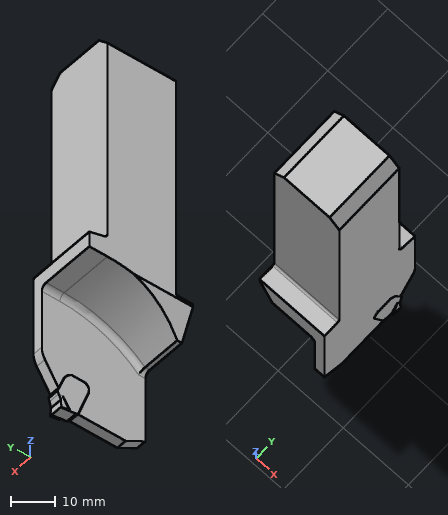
import cadquery as cq
import math

total_height = 103.6
width = 20.0
shank_front = 5.0
shank_back = shank_front + width
end_chamfer = 3.0

head_depth = 30.3
front_step_z = 34.5
front_step_fillet = 0.6
back_step_z = 39.1
back_step_angle = 15.0
back_step_fillet = 1.5
back_step_top = back_step_z + (head_depth - shank_back) * math.tan(math.radians(back_step_angle))

blade_thickness = 3.0
blade_face = width - blade_thickness
blade_bottom = 1.1
blade_chamfer_y = 5.8
blade_chamfer_z = 4.5
relief_top = 13.9
relief_y = 22.4
relief_fillet = 6.2

clearance_top = 34.5
clearance_radius = 35.0
clearance_front_z = 25.4
clearance_fillet = 1.6
clearance_fall = clearance_radius - (clearance_top - clearance_front_z)
clearance_end_y = shank_back - math.sqrt(clearance_radius**2 - clearance_fall**2)

slant_top = 33.7
slant_width = 3.9

insert_proud = 0.3
insert_face = blade_face - insert_proud
insert_top = 11.8
insert_heel = (20.5, 0.6)
insert_exit = (19.7, 1.2)
insert_front_arc = ((16.9, 9.0), (16.8, 10.6), (17.8, insert_top))
insert_back_arc = ((22.0, insert_top), (23.1, 10.9), (23.8, 9.8))
insert_shoulder = (25.9, 4.6)

tip_y = 25.0
tip_corner_z = 2.3
tip_back_y = 25.6
tip_rake_top_y = 24.3
tip_rake_foot = (22.4, 0.36)
tip_height = 3.7
tip_left = 16.5
tip_right = 20.5


def side_prism(outline, x_start, x_end):
    """Extrude a closed YZ outline from x_start to x_end."""
    return outline.extrude(x_end - x_start).translate((x_start, 0, 0))


def make_blank():
    """Full-width side outline of shank, head and blade."""
    outline = (
        cq.Workplane("YZ")
        .moveTo(shank_front, total_height)
        .lineTo(shank_front, front_step_z)
        .lineTo(0, front_step_z)
        .lineTo(0, blade_chamfer_z)
        .lineTo(blade_chamfer_y, blade_bottom)
        .lineTo(relief_y, blade_bottom)
        .lineTo(head_depth, relief_top)
        .lineTo(head_depth, back_step_z)
        .lineTo(shank_back, back_step_top)
        .lineTo(shank_back, total_height)
        .close()
    )
    blank = side_prism(outline, 0, width)
    corner_fillets = (
        (shank_front, front_step_z, front_step_fillet),
        (shank_back, back_step_top, back_step_fillet),
        (head_depth, relief_top, relief_fillet),
    )
    for y, z, radius in corner_fillets:
        corner = cq.selectors.NearestToPointSelector((width / 2, y, z))
        blank = blank.edges("|X").edges(corner).fillet(radius)
    return blank.faces(">Z").edges("|Y").chamfer(end_chamfer)


def make_clearance():
    """Space cut away beside the blade, with a rounded inner top edge."""
    margin = 5.2
    arc_middle_angle = math.asin((shank_back - clearance_end_y) / clearance_radius) / 2
    arc_center_z = clearance_top - clearance_radius
    arc_middle = (
        shank_back - clearance_radius * math.sin(arc_middle_angle),
        arc_center_z + clearance_radius * math.cos(arc_middle_angle),
    )
    outline = (
        cq.Workplane("YZ")
        .moveTo(-margin, -margin)
        .lineTo(-margin, clearance_front_z)
        .lineTo(clearance_end_y, clearance_front_z)
        .threePointArc(arc_middle, (shank_back, clearance_top))
        .lineTo(head_depth + margin, clearance_top)
        .lineTo(head_depth + margin, -margin)
        .close()
    )
    space = side_prism(outline, -margin, blade_face)
    roof_edges = cq.selectors.BoxSelector(
        (blade_face - 1, -margin + 1, clearance_front_z - 1),
        (blade_face + 1, head_depth + margin - 1, clearance_top + 1),
    )
    return space.edges(roof_edges).fillet(clearance_fillet)


def make_slant():
    """Wedge removed from the lower -X edge of the head."""
    return (
        cq.Workplane("XZ")
        .moveTo(0, slant_top)
        .lineTo(slant_width, clearance_front_z)
        .lineTo(0, clearance_front_z)
        .close()
        .extrude(-head_depth)
    )


def make_insert_body():
    """Oblique insert with a rounded upper end."""
    outline = (
        cq.Workplane("YZ")
        .moveTo(tip_y, 0)
        .lineTo(*insert_heel)
        .lineTo(*insert_exit)
        .lineTo(*insert_front_arc[0])
        .threePointArc(*insert_front_arc[1:])
        .lineTo(*insert_back_arc[0])
        .threePointArc(*insert_back_arc[1:])
        .lineTo(*insert_shoulder)
        .lineTo(tip_back_y, tip_height)
        .lineTo(tip_y, tip_corner_z)
        .close()
    )
    return side_prism(outline, insert_face, width)


def make_tip():
    """Cutting tip that widens downward on both sides."""
    outline = (
        cq.Workplane("YZ")
        .moveTo(tip_y, 0)
        .lineTo(*tip_rake_foot)
        .lineTo(tip_rake_top_y, tip_height)
        .lineTo(tip_back_y, tip_height)
        .lineTo(tip_y, tip_corner_z)
        .close()
    )
    flare = (
        cq.Workplane("XZ")
        .moveTo(insert_face, tip_height)
        .lineTo(tip_left, 0)
        .lineTo(tip_right, 0)
        .lineTo(width, tip_height)
        .close()
        .extrude(-head_depth)
    )
    return side_prism(outline, tip_left, tip_right).intersect(flare)


insert_body = make_insert_body()
insert = insert_body.union(make_tip())
holder = make_blank().cut(make_clearance()).cut(make_slant()).cut(insert_body)

result = cq.Compound.makeCompound([holder.val(), insert.val()])